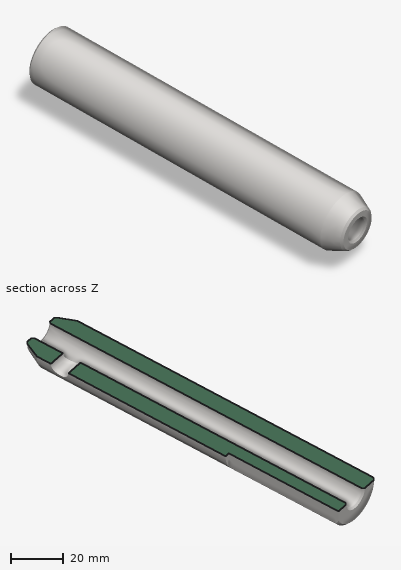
import cadquery as cq

length = 152.4
diameter = 25.5
radius = diameter / 2
rear_chamfer = 1.0

nose_length = 8.1
nose_radius = 9.5
tip_chamfer = 0.9

bore_diameter = 10.0
bore_chamfer = 0.8

flat_length = 53.0
flat_offset = 10.7

cross_hole_diameter = 8.4
cross_hole_x = 133.4


def make_shaft():
    """Revolve the chamfered, tapered half outline about the X axis."""
    outline = (
        cq.Workplane("XY")
        .moveTo(0, 0)
        .lineTo(0, radius - rear_chamfer)
        .lineTo(rear_chamfer, radius)
        .lineTo(length - nose_length, radius)
        .lineTo(length - tip_chamfer, nose_radius)
        .lineTo(length, nose_radius - tip_chamfer)
        .lineTo(length, 0)
        .close()
    )
    return outline.revolve(360, (0, 0, 0), (1, 0, 0))


def make_bore():
    """Revolve the bore with a countersink at each end."""
    bore_radius = bore_diameter / 2
    mouth_radius = bore_radius + bore_chamfer
    outline = (
        cq.Workplane("XY")
        .moveTo(0, 0)
        .lineTo(0, mouth_radius)
        .lineTo(bore_chamfer, bore_radius)
        .lineTo(length - bore_chamfer, bore_radius)
        .lineTo(length, mouth_radius)
        .lineTo(length, 0)
        .close()
    )
    return outline.revolve(360, (0, 0, 0), (1, 0, 0))


def make_flat_cut():
    """Block that removes everything beyond the flat."""
    return (
        cq.Workplane("XY")
        .box(flat_length, radius, diameter, centered=(False, False, True))
        .translate((0, flat_offset, 0))
    )


def make_cross_hole():
    """Cylinder along +Y, from the shaft axis out through the surface."""
    start = cq.Vector(cross_hole_x, 0, 0)
    return cq.Workplane(cq.Solid.makeCylinder(cross_hole_diameter / 2, radius, start, cq.Vector(0, 1, 0)))


result = make_shaft().cut(make_bore()).cut(make_flat_cut()).cut(make_cross_hole())